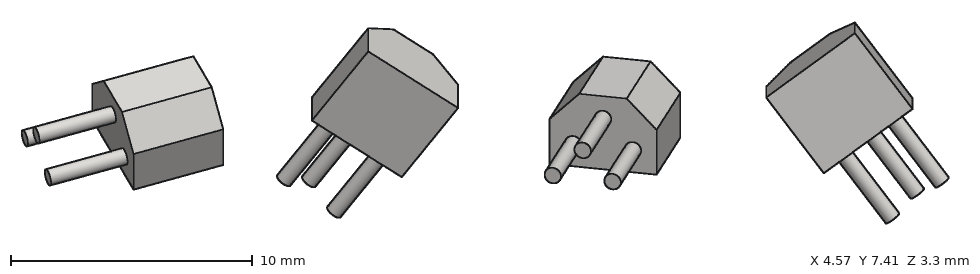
import cadquery as cq

total_length = 7.41
body_length = 4.0
body_width = 4.57
body_height = 3.3
pin_diameter = 0.705
pin_pitch = 1.275
lower_pin_height = 1.015
corner_cut = 1.275

pin_length = total_length - body_length


def make_body():
    """Block along +Y with its two upper long edges cut at 45 degrees."""
    block = cq.Workplane("XY").box(
        body_width, body_length, body_height, centered=(True, False, False)
    )
    return block.faces(">Z").edges("|Y").chamfer(corner_cut)


def make_pins():
    """Three round pins in a triangle, running from the body face toward -Y."""
    pin_centers = [
        (-pin_pitch, lower_pin_height),
        (pin_pitch, lower_pin_height),
        (0, lower_pin_height + pin_pitch),
    ]
    return (
        cq.Workplane("XZ")
        .pushPoints(pin_centers)
        .circle(pin_diameter / 2)
        .extrude(pin_length)
    )


result = make_body().union(make_pins())